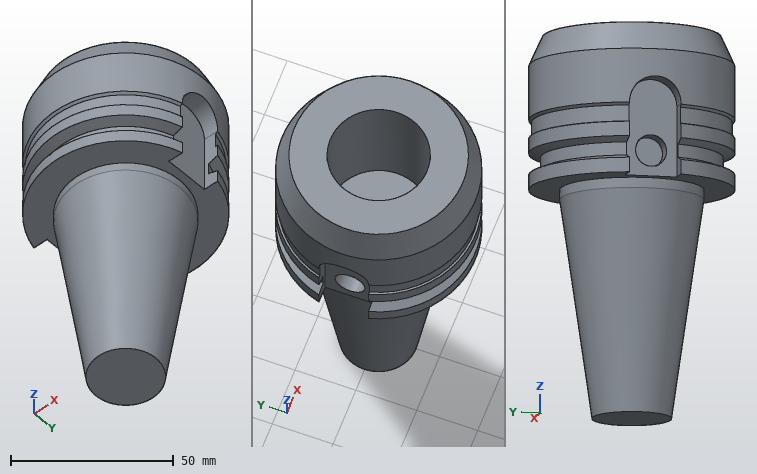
import cadquery as cq

gauge_radius = 44.45 / 2
taper_ratio = 7 / 24
taper_length = 68.25
tip_radius = gauge_radius - taper_length * taper_ratio / 2

body_radius = 63.5 / 2
flange_bottom_z = 3.175
flange_top_z = 19.05
groove_center_z = (flange_bottom_z + flange_top_z) / 2
groove_root_radius = 56.36 / 2
groove_root_half_width = 2.05
groove_mouth_half_width = 3.4

neck_radius = 30.95
neck_top_z = 24.2
nose_top_z = 50.8
nose_chamfer_height = 9.0
nose_chamfer_depth = 4.15
nose_bottom_z = neck_top_z + body_radius - neck_radius

bore_diameter = 31.75
bore_depth = 40.0

slot_width = 16.3
slot_top_z = 33.3
slot_floor_x = 25.2
slot_arc_center_z = slot_top_z - slot_width / 2

pocket_diameter = 9.8
pocket_depth = 5.3


def revolved_body():
    """Shank, flange, neck and nose as one turned profile."""
    return (
        cq.Workplane("XZ")
        .moveTo(0, -taper_length)
        .lineTo(tip_radius, -taper_length)
        .lineTo(gauge_radius, 0)
        .lineTo(gauge_radius, flange_bottom_z)
        .lineTo(body_radius, flange_bottom_z)
        .lineTo(body_radius, groove_center_z - groove_mouth_half_width)
        .lineTo(groove_root_radius, groove_center_z - groove_root_half_width)
        .lineTo(groove_root_radius, groove_center_z + groove_root_half_width)
        .lineTo(body_radius, groove_center_z + groove_mouth_half_width)
        .lineTo(body_radius, flange_top_z)
        .lineTo(neck_radius, flange_top_z)
        .lineTo(neck_radius, neck_top_z)
        .lineTo(body_radius, nose_bottom_z)
        .lineTo(body_radius, nose_top_z - nose_chamfer_height)
        .lineTo(body_radius - nose_chamfer_depth, nose_top_z)
        .lineTo(0, nose_top_z)
        .close()
        .revolve(360, (0, 0, 0), (0, 1, 0))
    )


def tool_bore():
    """Blind bore sunk from the top face."""
    bore_bottom_z = nose_top_z - bore_depth
    return cq.Workplane("XY", origin=(0, 0, bore_bottom_z)).circle(bore_diameter / 2).extrude(bore_depth)


def drive_slot(side):
    """Round-topped slot, open at the flange underside; side is -1 or +1 along X."""
    slot_depth = body_radius - slot_floor_x
    half_width = slot_width / 2
    return (
        cq.Workplane("YZ", origin=(side * slot_floor_x, 0, 0))
        .moveTo(-half_width, flange_bottom_z)
        .lineTo(half_width, flange_bottom_z)
        .lineTo(half_width, slot_arc_center_z)
        .threePointArc((0, slot_top_z), (-half_width, slot_arc_center_z))
        .close()
        .extrude(side * slot_depth)
    )


def slot_pocket():
    """Round pocket sunk into the -X slot floor, level with the V-groove."""
    return (
        cq.Workplane("YZ", origin=(-slot_floor_x, 0, groove_center_z))
        .circle(pocket_diameter / 2)
        .extrude(pocket_depth)
    )


result = revolved_body().cut(tool_bore())
for slot_side in (-1, 1):
    result = result.cut(drive_slot(slot_side))
result = result.cut(slot_pocket())